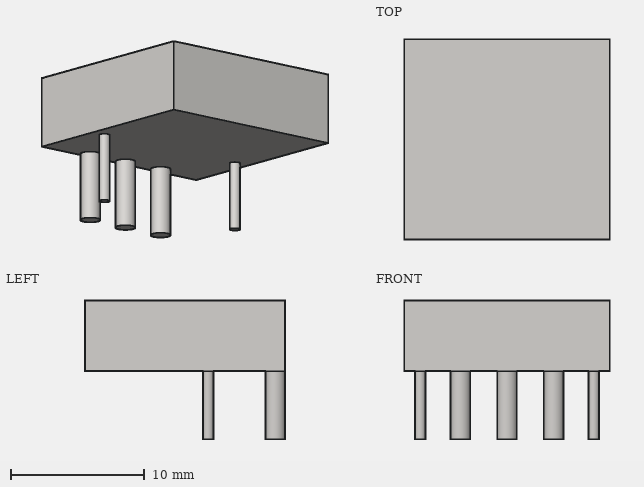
import cadquery as cq

HOUSING_LENGTH = 15.4
HOUSING_WIDTH = 15.0
TOTAL_HEIGHT = 10.4
PIN_LENGTH = 5.1
HOUSING_HEIGHT = TOTAL_HEIGHT - PIN_LENGTH

THICK_PIN_DIAMETER = 1.5
THICK_PIN_PITCH = 3.5
THICK_PIN_Y = (THICK_PIN_DIAMETER - HOUSING_WIDTH) / 2

THIN_PIN_DIAMETER = 0.8
THIN_PIN_SPACING = 13.0
THIN_PIN_EDGE_DISTANCE = 5.76
THIN_PIN_Y = THIN_PIN_EDGE_DISTANCE - HOUSING_WIDTH / 2


def make_housing():
    """Plain rectangular block standing on Z = 0."""
    return cq.Workplane("XY").box(
        HOUSING_LENGTH, HOUSING_WIDTH, HOUSING_HEIGHT, centered=(True, True, False)
    )


def make_pin(diameter, x, y):
    """Round pin hanging from the underside of the housing."""
    return cq.Workplane("XY").center(x, y).circle(diameter / 2).extrude(-PIN_LENGTH)


housing = make_housing()

thick_pins = []
for step in (-1, 0, 1):
    thick_pins.append(make_pin(THICK_PIN_DIAMETER, step * THICK_PIN_PITCH, THICK_PIN_Y))

thin_pins = []
for side in (-1, 1):
    thin_pins.append(make_pin(THIN_PIN_DIAMETER, side * THIN_PIN_SPACING / 2, THIN_PIN_Y))

result = cq.Compound.makeCompound([housing.val(), *[pin.val() for pin in thick_pins + thin_pins]])